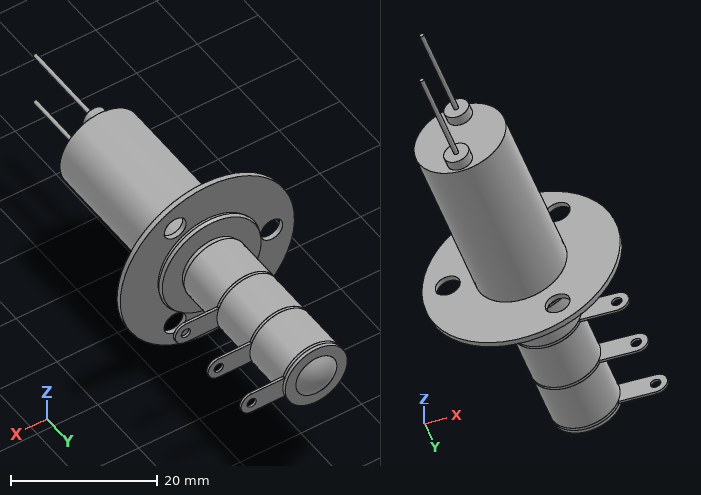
import cadquery as cq
import math


barrel_radius = 6.7
barrel_length = 25.4
flange_diameter = 28.7
flange_thickness = 0.85
collar_edge_radius = 8.15
collar_ridge_radius = 8.35
collar_thickness = 1.05
mount_hole_diameter = 3.6
mount_hole_circle_radius = 10.6
mount_hole_count = 3
boss_radius = 1.8
boss_length = 1.55
lead_radius = 0.35
lead_offset = 4.5
overall_length = 70.2
tip_y = 28.85

stack_radius = 5.1
neck_radius = 4.85
neck_length = 0.85
sleeve_length = 7.65
stage_count = 3
core_radius = 3.4
dome_height = 1.3
terminal_thickness = 0.4
terminal_reach = 12.0
tab_radius = 1.75
tab_hole_diameter = 1.5

collar_end_y = flange_thickness + collar_thickness
stack_start_y = collar_end_y + neck_length
stage_pitch = sleeve_length + terminal_thickness
stack_end_y = stack_start_y + stage_count * stage_pitch
cap_end_y = tip_y - dome_height
lead_length = overall_length - tip_y - barrel_length - boss_length


def cylinder(radius, start_y, length, x=0, z=0):
    """Cylinder along +Y that starts at start_y."""
    return cq.Workplane(cq.Solid.makeCylinder(radius, length, cq.Vector(x, start_y, z), cq.Vector(0, 1, 0)))


def make_collar():
    """Disc behind the flange with a ridge around the middle of its rim."""
    return (
        cq.Workplane("XY")
        .moveTo(0, flange_thickness)
        .lineTo(collar_edge_radius, flange_thickness)
        .lineTo(collar_ridge_radius, flange_thickness + collar_thickness / 2)
        .lineTo(collar_edge_radius, collar_end_y)
        .lineTo(0, collar_end_y)
        .close()
        .revolve(360, (0, 0, 0), (0, 1, 0))
    )


def make_housing():
    """Barrel with flange, collar, neck and two bossed leads."""
    body = cylinder(barrel_radius, -barrel_length, barrel_length)
    body = body.union(cylinder(flange_diameter / 2, 0, flange_thickness))
    body = body.union(make_collar())
    body = body.union(cylinder(neck_radius, collar_end_y, neck_length))

    for z in (-lead_offset, lead_offset):
        boss_start_y = -barrel_length - boss_length
        body = body.union(cylinder(boss_radius, boss_start_y, boss_length, z=z))
        body = body.union(cylinder(lead_radius, boss_start_y - lead_length, lead_length, z=z))

    for i in range(mount_hole_count):
        angle = math.pi + i * 2 * math.pi / mount_hole_count
        x = mount_hole_circle_radius * math.cos(angle)
        z = mount_hole_circle_radius * math.sin(angle)
        body = body.cut(cylinder(mount_hole_diameter / 2, 0, flange_thickness, x, z))
    return body


def make_core():
    """Rod through the stack, with an end cap and a spherical dome."""
    dome_sphere_radius = (core_radius**2 + dome_height**2) / (2 * dome_height)
    half_angle = math.asin(core_radius / dome_sphere_radius) / 2
    arc_middle_x = dome_sphere_radius * math.sin(half_angle)
    arc_middle_y = tip_y - dome_sphere_radius * (1 - math.cos(half_angle))
    return (
        cq.Workplane("XY")
        .moveTo(0, stack_start_y)
        .lineTo(core_radius, stack_start_y)
        .lineTo(core_radius, stack_end_y)
        .lineTo(stack_radius, stack_end_y)
        .lineTo(stack_radius, cap_end_y)
        .lineTo(core_radius, cap_end_y)
        .threePointArc((arc_middle_x, arc_middle_y), (0, tip_y))
        .close()
        .revolve(360, (0, 0, 0), (0, 1, 0))
    )


def make_sleeve(start_y):
    """Plain ring around the core."""
    ring = cylinder(stack_radius, start_y, sleeve_length)
    return ring.cut(cylinder(core_radius, start_y, sleeve_length))


def make_terminal(start_y):
    """Thin ring around the core with a round-ended, pierced tab towards +X."""
    tab_center_x = terminal_reach - tab_radius
    tab = cq.Workplane("XY").box(
        tab_center_x, terminal_thickness, 2 * tab_radius, centered=(False, False, True)
    ).translate((0, start_y, 0))
    plate = cylinder(stack_radius, start_y, terminal_thickness).union(tab)
    plate = plate.union(cylinder(tab_radius, start_y, terminal_thickness, tab_center_x))
    plate = plate.cut(cylinder(core_radius, start_y, terminal_thickness))
    return plate.cut(cylinder(tab_hole_diameter / 2, start_y, terminal_thickness, tab_center_x))


housing = make_housing()
core = make_core()
sleeves = []
terminals = []
for stage in range(stage_count):
    stage_start_y = stack_start_y + stage * stage_pitch
    sleeves.append(make_sleeve(stage_start_y).val())
    terminals.append(make_terminal(stage_start_y + sleeve_length).val())

result = cq.Compound.makeCompound([housing.val(), core.val(), *sleeves, *terminals])